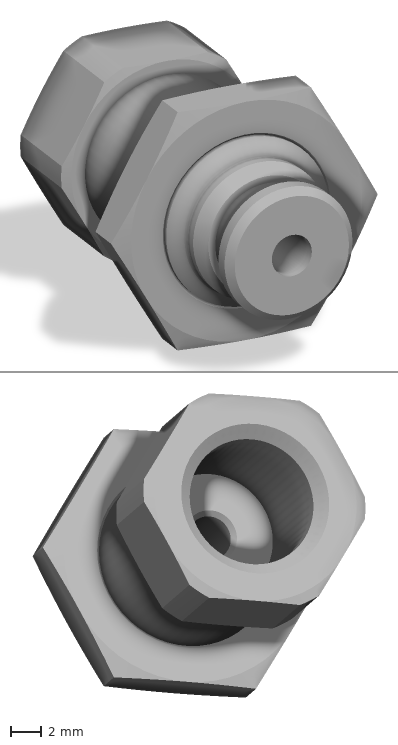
import cadquery as cq
import math

TOTAL_LENGTH = 25.3
INLET_HEX_LENGTH = 6.5
NUT_START = 15.5
NUT_THICKNESS = 3.0

INLET_HEX_FLATS = 14.0
INLET_HEX_CORNER_RADIUS = 7.67
NUT_FLATS = 17.0
NUT_BORE_CHAMFER = 0.18
HEX_CHAMFER_ANGLE = 15.0
SHARP_CORNER_RATIO = 1 / math.cos(math.radians(30))

BARREL_RADIUS = 6.0
NOSE_CONE_START = 18.67
NOSE_CONE_END = 19.6
COLLAR_RADIUS = 4.9
COLLAR_FILLET = 0.4
COLLAR_END = 20.5
TAPER_END_RADIUS = 4.28
TAPER_END = 21.5
TIP_RADIUS = 3.77
TIP_END = 22.55

NECK_RADIUS = 2.73
NECK_FILLET = 0.23
FLANGE_START = 23.88
FLANGE_RADIUS = 4.7
FLANGE_CHAMFER = 0.5

INLET_RADIUS = 4.28
INLET_CHAMFER = 0.83
INLET_DEPTH = 10.0
PASSAGE_RADIUS = 1.47
PASSAGE_CHAMFER = 0.33


def turned(profile):
    """Revolve (x, radius) points, closed along the axis, about the X axis."""
    return cq.Workplane("XY").polyline(profile).close().revolve(360, (0, 0, 0), (1, 0, 0))


def chamfered_hexagon(start, length, flats, corner_radius):
    """Hexagon along X whose corners are chamfered conically at both faces."""
    end = start + length
    flat_radius = flats / 2
    setback = (corner_radius - flat_radius) * math.tan(math.radians(HEX_CHAMFER_ANGLE))
    prism = cq.Workplane("YZ", origin=(start, 0, 0)).polygon(6, flats * SHARP_CORNER_RATIO).extrude(length)
    envelope = turned([
        (start, 0),
        (start, flat_radius),
        (start + setback, corner_radius),
        (end - setback, corner_radius),
        (end, flat_radius),
        (end, 0),
    ])
    return prism.intersect(envelope)


def fillet_step(solid, x, radius, fillet):
    """Round the inside edge, a full circle of the given radius in the plane at x."""
    margin = fillet / 10
    slab = cq.selectors.BoxSelector(
        (x - margin, -radius - margin, -radius - margin),
        (x + margin, radius + margin, radius + margin),
        boundingbox=True,
    )
    return solid.edges(slab).fillet(fillet)


def make_barrel():
    """Turned outside: barrel, conical nose, collar, tip, neck and push flange."""
    barrel = turned([
        (0, 0),
        (0, BARREL_RADIUS),
        (NOSE_CONE_START, BARREL_RADIUS),
        (NOSE_CONE_END, COLLAR_RADIUS),
        (COLLAR_END, COLLAR_RADIUS),
        (TAPER_END, TAPER_END_RADIUS),
        (TAPER_END, TIP_RADIUS),
        (TIP_END, TIP_RADIUS),
        (TIP_END, NECK_RADIUS),
        (FLANGE_START, NECK_RADIUS),
        (FLANGE_START, FLANGE_RADIUS),
        (TOTAL_LENGTH - FLANGE_CHAMFER, FLANGE_RADIUS),
        (TOTAL_LENGTH, FLANGE_RADIUS - FLANGE_CHAMFER),
        (TOTAL_LENGTH, 0),
    ])
    barrel = fillet_step(barrel, NOSE_CONE_END, COLLAR_RADIUS, COLLAR_FILLET)
    return fillet_step(barrel, FLANGE_START, NECK_RADIUS, NECK_FILLET)


def make_bore():
    """Inlet bore with a chamfered mouth, and the chamfered passage in its floor."""
    return turned([
        (0, 0),
        (0, INLET_RADIUS + INLET_CHAMFER),
        (INLET_CHAMFER, INLET_RADIUS),
        (INLET_DEPTH, INLET_RADIUS),
        (INLET_DEPTH, PASSAGE_RADIUS + PASSAGE_CHAMFER),
        (INLET_DEPTH + PASSAGE_CHAMFER, PASSAGE_RADIUS),
        (TOTAL_LENGTH, PASSAGE_RADIUS),
        (TOTAL_LENGTH, 0),
    ])


def make_fitting():
    """Fitting body: inlet hexagon and turned barrel, bored from end to end."""
    inlet_hexagon = chamfered_hexagon(0, INLET_HEX_LENGTH, INLET_HEX_FLATS, INLET_HEX_CORNER_RADIUS)
    return make_barrel().union(inlet_hexagon).cut(make_bore())


def make_bulkhead_nut():
    """Hexagonal nut on the barrel, its bore chamfered at both faces."""
    sharp_corner_radius = NUT_FLATS / 2 * SHARP_CORNER_RATIO
    nut = chamfered_hexagon(NUT_START, NUT_THICKNESS, NUT_FLATS, sharp_corner_radius)
    bore = cq.Workplane("YZ", origin=(NUT_START, 0, 0)).circle(BARREL_RADIUS).extrude(NUT_THICKNESS)
    nut = nut.cut(bore)
    bore_rims = cq.selectors.RadiusNthSelector(0)
    return nut.edges("%CIRCLE").edges(bore_rims).chamfer(NUT_BORE_CHAMFER)


fitting = make_fitting()
bulkhead_nut = make_bulkhead_nut()

result = cq.Compound.makeCompound([fitting.val(), bulkhead_nut.val()])